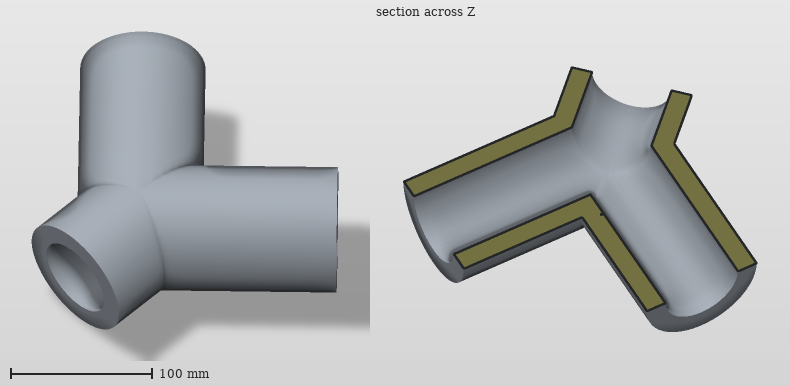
import cadquery as cq
import math

overall_width = 260.5
outer_diameter = 88.8
bore_diameter = 58.3
stem_length = 63.5
arm_angle = 45.0
stem_angle = -90.0

tilt = math.radians(arm_angle)
end_face_reach = outer_diameter / 2 * math.sin(tilt)
arm_length = (overall_width / 2 - end_face_reach) / math.cos(tilt)

branches = [
    (stem_angle, stem_length),
    (arm_angle, arm_length),
    (180 - arm_angle, arm_length),
]


def branch_cylinders(diameter):
    """Join one cylinder per branch, each running outward from the junction."""
    joined = cq.Workplane("XY")
    for angle, length in branches:
        cylinder = cq.Workplane("YZ").circle(diameter / 2).extrude(length)
        joined = joined.add(cylinder.rotate((0, 0, 0), (0, 0, 1), angle))
    return joined.combine()


result = branch_cylinders(outer_diameter).cut(branch_cylinders(bore_diameter))